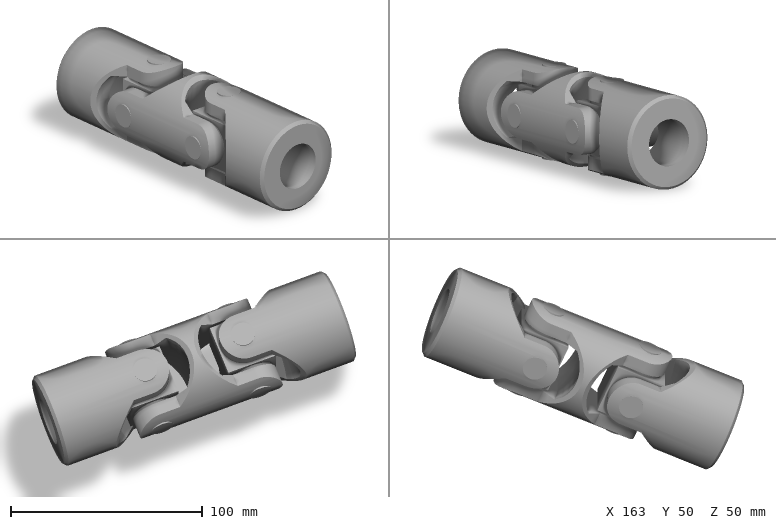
import cadquery as cq


length = 163.0
diameter = 50.0
bore_diameter = 25.0
end_chamfer = 1.6
joint_offset = 27.4

lug_width = 25.1
lug_gap = 30.0
lug_flat = 11.2
taper_run = 25.9

floor_axis_offset = 4.4
floor_reach = 25.8
floor_rim_reach = 23.0

block_size = 26.7
collar_diameter = 23.0
pin_diameter = 12.5
pin_span = diameter

radius = diameter / 2
half_length = length / 2
lug_radius = lug_width / 2


def turned_about_x(body, angle):
    return body.rotate((0, 0, 0), (1, 0, 0), angle)


def turned_around(body):
    """Turn a body half a turn about the Z axis through the middle of the part."""
    return body.rotate((0, 0, 0), (0, 0, 1), 180)


def rod_along_x(x_start, x_end):
    return cq.Workplane("YZ").workplane(offset=x_start).circle(radius).extrude(x_end - x_start)


def lug_outline(joint_x, root_x):
    """Plate normal to Z: full width at root_x, tapering to a rounded lug around the joint."""
    flat_end = joint_x - lug_flat
    taper_end = joint_x - taper_run
    return (
        cq.Workplane("XY")
        .moveTo(root_x, -radius)
        .lineTo(taper_end, -radius)
        .lineTo(flat_end, -lug_radius)
        .lineTo(joint_x, -lug_radius)
        .threePointArc((joint_x + lug_radius, 0), (joint_x, lug_radius))
        .lineTo(flat_end, lug_radius)
        .lineTo(taper_end, radius)
        .lineTo(root_x, radius)
        .close()
        .extrude(radius, both=True)
    )


def lug_slot(joint_x):
    """Space between two lugs stacked along Z, with a barrel-shaped floor revolved about a Y axis."""
    axis_x = joint_x - floor_axis_offset
    rim_x = joint_x - floor_rim_reach
    barrel = (
        cq.Workplane("XY")
        .moveTo(axis_x, -radius)
        .lineTo(rim_x, -radius)
        .threePointArc((joint_x - floor_reach, 0), (rim_x, radius))
        .lineTo(axis_x, radius)
        .close()
        .revolve(360, (axis_x, 0, 0), (axis_x, 1, 0))
    )
    opening_length = lug_radius + floor_axis_offset
    opening = cq.Workplane("XY").box(opening_length, diameter, lug_gap, centered=(False, True, True))
    slab = cq.Workplane("XY").box(length, diameter, lug_gap)
    return barrel.intersect(slab).union(opening.translate((axis_x, 0, 0)))


def pin_hole(joint_x):
    return cq.Workplane("XY").center(joint_x, 0).circle(pin_diameter / 2).extrude(radius, both=True)


def fork_cut(rod, joint_x, root_x):
    """Shape the +X end of a rod into a pair of lugs facing each other along Z."""
    return rod.intersect(lug_outline(joint_x, root_x)).cut(lug_slot(joint_x)).cut(pin_hole(joint_x))


def make_end_yoke():
    """End yoke at -X, with its lugs above and below the joint."""
    tip = -joint_offset + lug_radius
    rod = rod_along_x(-half_length, tip).faces("<X").chamfer(end_chamfer)
    yoke = fork_cut(rod, -joint_offset, -half_length)
    bore = (
        cq.Workplane("YZ")
        .workplane(offset=-half_length)
        .circle(bore_diameter / 2)
        .extrude(half_length - joint_offset)
    )
    return yoke.cut(bore)


def make_double_yoke():
    """Middle yoke, with a pair of lugs at each end facing each other along Y."""
    tip = joint_offset + lug_radius
    half = fork_cut(rod_along_x(0, tip), joint_offset, 0)
    return turned_about_x(half.union(half.mirror("YZ")), 90)


def make_cross(joint_x):
    """Square block with a collar and a pin on each of its four sides along Y and Z."""
    cross = cq.Workplane("XY").box(block_size, block_size, block_size)
    collars = cq.Workplane("XY").circle(collar_diameter / 2).extrude(lug_gap / 2, both=True)
    pins = cq.Workplane("XY").circle(pin_diameter / 2).extrude(pin_span / 2, both=True)
    for angle in (0, 90):
        cross = cross.union(turned_about_x(collars.union(pins), angle))
    return cross.translate((joint_x, 0, 0))


end_yoke = make_end_yoke()
end_yokes = [end_yoke, turned_around(end_yoke)]
double_yoke = make_double_yoke()
crosses = [make_cross(x) for x in (-joint_offset, joint_offset)]

bodies = [*end_yokes, double_yoke, *crosses]
result = cq.Compound.makeCompound([body.solids().val() for body in bodies])